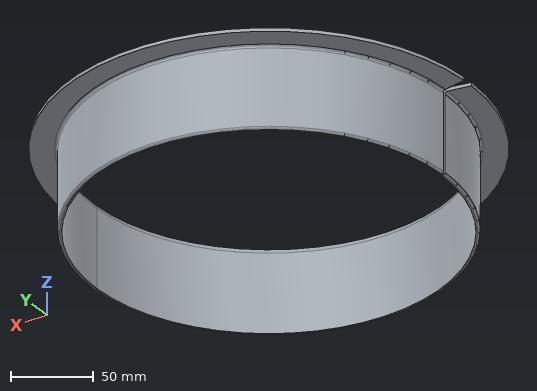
import cadquery as cq
import math

flange_radius = 145.0
height = 60.0
sheet = 2.5
sleeve_radius = 127.5
inner_bend = 1.7
lower_edge_round = 1.5
split_half_angle = 10.0
split_apex_radius = 122.7

bore_radius = sleeve_radius - sheet
outer_bend = inner_bend + sheet
flange_underside = height - sheet
bend_radius_center = sleeve_radius + inner_bend
bend_height_center = flange_underside - inner_bend


def bend_point(radius):
    """Middle of the quarter-round bend, as (distance from axis, height)."""
    offset = radius * math.sqrt(0.5)
    return bend_radius_center - offset, bend_height_center + offset


def flanged_sleeve():
    """Revolve the L-shaped sheet section about the Z axis."""
    round_offset = lower_edge_round * math.sqrt(0.5)
    round_center = (sleeve_radius - lower_edge_round, lower_edge_round)
    section = (
        cq.Workplane("XZ")
        .moveTo(bore_radius, 0)
        .lineTo(round_center[0], 0)
        .threePointArc(
            (round_center[0] + round_offset, round_center[1] - round_offset),
            (sleeve_radius, lower_edge_round),
        )
        .lineTo(sleeve_radius, bend_height_center)
        .threePointArc(bend_point(inner_bend), (bend_radius_center, flange_underside))
        .lineTo(flange_radius, flange_underside)
        .lineTo(flange_radius, height)
        .lineTo(bend_radius_center, height)
        .threePointArc(bend_point(outer_bend), (bore_radius, bend_height_center))
        .close()
    )
    return section.revolve(360, (0, 0, 0), (0, 1, 0))


def wedge_split():
    """Full-height wedge through the -X side, with its apex just inside the bore."""
    rim_half_width = (flange_radius - split_apex_radius) * math.tan(math.radians(split_half_angle))
    return (
        cq.Workplane("XY")
        .polyline([
            (-split_apex_radius, 0),
            (-flange_radius, rim_half_width),
            (-flange_radius, -rim_half_width),
        ])
        .close()
        .extrude(height)
    )


result = flanged_sleeve().cut(wedge_split())